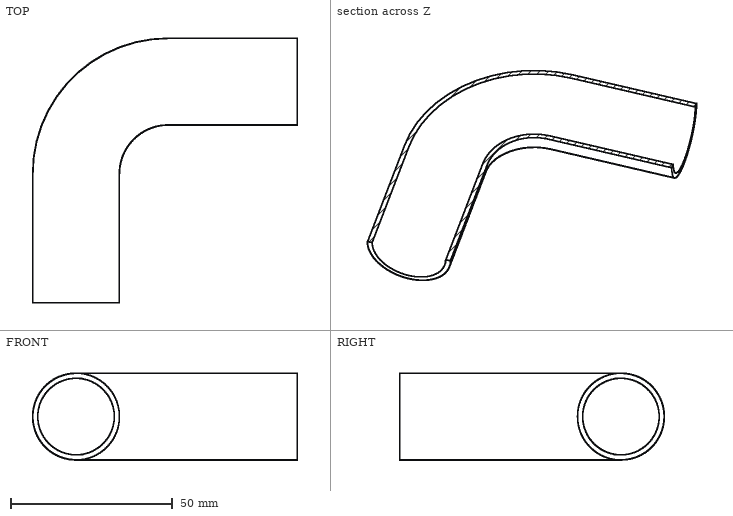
import cadquery as cq

outer_diameter = 26.9
wall = 1.6
bend_radius = 28.5
leg_length = 40.0

inner_diameter = outer_diameter - 2 * wall


def leg():
    """Straight tube running from the origin along -Y."""
    return (
        cq.Workplane("XZ")
        .circle(outer_diameter / 2)
        .circle(inner_diameter / 2)
        .extrude(leg_length)
    )


def bend():
    """Quarter-turn tube from the origin (heading +Y) round to heading +X."""
    return (
        cq.Workplane("XZ")
        .circle(outer_diameter / 2)
        .circle(inner_diameter / 2)
        .revolve(90, (bend_radius, 0, 0), (bend_radius, -1, 0))
    )


first_leg = leg()
second_leg = leg().rotate((0, 0, 0), (0, 0, 1), 90).translate((bend_radius, bend_radius, 0))

result = bend().union(first_leg).union(second_leg)